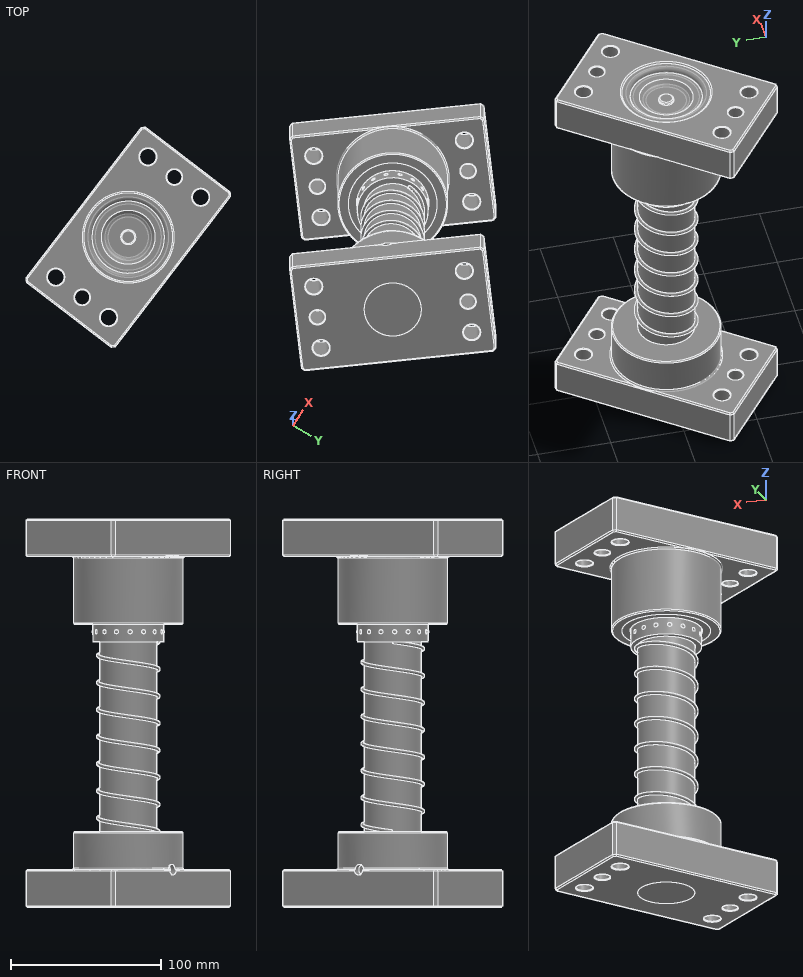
import cadquery as cq
import math

total_height = 257.95
flange_thickness = 25.0
lower_boss_top = 50.3
upper_boss_length = 70.0
flange_bottom = total_height - flange_thickness
upper_boss_bottom = total_height - upper_boss_length

flange_length = 130.0
flange_width = 75.0
flange_angle = 52.55
corner_chamfer = 2.0
rim_chamfer = 1.0
boss_diameter = 73.0
boss_chamfer = 0.8
boss_fillet = 1.0

hole_row_spacing = 100.7
screw_hole_spacing = 44.2
screw_hole_diameter = 11.0
dowel_hole_diameter = 10.0
hole_chamfer = 0.5

notch_diameter = 7.0
notch_depth = 5.0

pillar_diameter = 38.0
spring_wire_diameter = 2.2
spring_pitch = 18.0
spring_turns = 7
spring_length = spring_pitch * spring_turns
spring_radius = pillar_diameter / 2 + spring_wire_diameter / 2
ball_diameter = 5.0
ball_count = 16
first_ball_angle = -86.9
ball_height = 6.8
ball_circle_radius = (pillar_diameter + ball_diameter) / 2
cage_clearance = 0.4
cage_bore = pillar_diameter + 2 * cage_clearance
cage_diameter = pillar_diameter + 2 * ball_diameter - 2 * cage_clearance
cage_bottom = lower_boss_top + spring_length

bush_bore = pillar_diameter + 2 * ball_diameter
bush_diameter = 59.0
bush_lip_radius = 2.8
bush_seat_chamfer = 1.0
bush_top = total_height - bush_seat_chamfer

disc_rim_depth = 4.3
disc_slope_drop = 0.3
dish_floor_depth = 7.6
disc_bottom_depth = 12.0
disc_rim_top = total_height - disc_rim_depth
disc_rim_radius = 22.0
disc_cone_radius = 17.9
disc_cone_top = disc_rim_top - disc_slope_drop
dish_corner_radius = 14.6
dish_floor = total_height - dish_floor_depth
dish_fillet = 3.0
disc_bottom = total_height - disc_bottom_depth
screw_diameter = 10.0
screw_head_chamfer = 0.8
screw_head_height = 2.0
screw_depth = 20.0


def cylinder(diameter, bottom, top):
    return cq.Workplane("XY").workplane(offset=bottom).circle(diameter / 2).extrude(top - bottom)


def chamfered_hole(diameter):
    """Cutter for a hole through a flange, widened by a chamfer at both ends."""
    radius = diameter / 2
    return (
        cq.Workplane("XZ")
        .moveTo(0, 0)
        .lineTo(radius + hole_chamfer, 0)
        .lineTo(radius, hole_chamfer)
        .lineTo(radius, flange_thickness - hole_chamfer)
        .lineTo(radius + hole_chamfer, flange_thickness)
        .lineTo(0, flange_thickness)
        .close()
        .revolve(360, (0, 0, 0), (0, 1, 0))
    )


def flange(bottom):
    plate = (
        cq.Workplane("XY")
        .box(flange_length, flange_width, flange_thickness, centered=(True, True, False))
        .edges("|Z").chamfer(corner_chamfer)
        .faces("<Z or >Z").edges().chamfer(rim_chamfer)
    )
    along = hole_row_spacing / 2
    across = screw_hole_spacing / 2
    drilled = plate
    for x in (-along, along):
        for y, diameter in (
            (-across, screw_hole_diameter),
            (0, dowel_hole_diameter),
            (across, screw_hole_diameter),
        ):
            drilled = drilled.cut(chamfered_hole(diameter).translate((x, y, 0)))
    return drilled.rotate((0, 0, 0), (0, 0, 1), flange_angle).translate((0, 0, bottom))


def boss(root, end):
    """Round boss from the flange face at root to end, widened by a fillet at the root.

    Its foot runs on down to where the rim chamfer of the flange ends.
    """
    direction = math.copysign(1, end - root)
    radius = boss_diameter / 2
    fillet_centre = (radius + boss_fillet, root + direction * boss_fillet)
    fillet_mid = (
        fillet_centre[0] - boss_fillet * math.cos(math.pi / 4),
        fillet_centre[1] - direction * boss_fillet * math.sin(math.pi / 4),
    )
    return (
        cq.Workplane("XZ")
        .moveTo(0, root - direction * rim_chamfer)
        .lineTo(radius + boss_fillet, root - direction * rim_chamfer)
        .lineTo(radius + boss_fillet, root)
        .threePointArc(fillet_mid, (radius, root + direction * boss_fillet))
        .lineTo(radius, end - direction * boss_chamfer)
        .lineTo(radius - boss_chamfer, end)
        .lineTo(0, end)
        .close()
        .revolve(360, (0, 0, 0), (0, 1, 0))
    )


def make_lower_flange():
    notch = (
        cq.Workplane("XZ", origin=(0, -flange_width / 2 + notch_depth, flange_thickness))
        .circle(notch_diameter / 2).extrude(notch_depth)
        .rotate((0, 0, 0), (0, 0, 1), flange_angle)
    )
    body = flange(0).union(boss(flange_thickness, lower_boss_top))
    return body.cut(cylinder(pillar_diameter, 0, lower_boss_top)).cut(notch)


def make_upper_flange():
    body = flange(flange_bottom).union(boss(flange_bottom, upper_boss_bottom))
    bored = body.cut(cylinder(bush_diameter, upper_boss_bottom, total_height))
    seat_edge = cq.Workplane("XY", origin=(0, 0, bush_top)).circle(bush_diameter / 2)
    seat_cone = seat_edge.workplane(offset=bush_seat_chamfer).circle(
        bush_diameter / 2 + bush_seat_chamfer
    ).loft()
    return bored.cut(seat_cone)


def make_bush():
    bush = cylinder(bush_diameter, upper_boss_bottom, bush_top)
    bored = bush.cut(cylinder(bush_bore, upper_boss_bottom, bush_top))
    inner_top_edge = cq.selectors.RadiusNthSelector(0)
    return bored.faces(">Z").edges(inner_top_edge).fillet(bush_lip_radius)


def make_pillar():
    screw_hole = cylinder(screw_diameter, disc_bottom - screw_depth, disc_bottom)
    return cylinder(pillar_diameter, 0, disc_bottom).cut(screw_hole)


def make_cage():
    cage = cylinder(cage_diameter, cage_bottom, disc_bottom)
    cage = cage.cut(cylinder(cage_bore, cage_bottom, disc_bottom))
    balls = (
        cq.Workplane("XY", origin=(0, 0, cage_bottom + ball_height))
        .polarArray(ball_circle_radius, first_ball_angle, 360, ball_count)
        .sphere(ball_diameter / 2, combine=False)
    )
    return cage.union(balls)


def make_spring():
    """Left-hand coil whose ends are ground flat against the lower boss and the cage."""
    path = cq.Wire.makeHelix(spring_pitch, spring_length, spring_radius, lefthand=True)
    coil = (
        cq.Workplane("XZ")
        .center(spring_radius, 0)
        .circle(spring_wire_diameter / 2)
        .sweep(cq.Workplane(path), isFrenet=True)
        .translate((0, 0, lower_boss_top))
    )
    return coil.intersect(cylinder(boss_diameter, lower_boss_top, cage_bottom))


def make_disc():
    disc = (
        cq.Workplane("XZ")
        .moveTo(0, disc_bottom)
        .lineTo(bush_bore / 2, disc_bottom)
        .lineTo(bush_bore / 2, disc_rim_top)
        .lineTo(disc_rim_radius, disc_rim_top)
        .lineTo(disc_cone_radius, disc_cone_top)
        .lineTo(dish_corner_radius, dish_floor)
        .lineTo(0, dish_floor)
        .close()
        .revolve(360, (0, 0, 0), (0, 1, 0))
    )
    floor_face = cq.selectors.NearestToPointSelector((0, 0, dish_floor))
    rounded = disc.faces(floor_face).edges().fillet(dish_fillet)
    return rounded.cut(cylinder(screw_diameter, disc_bottom, dish_floor))


def make_screw():
    screw = cylinder(screw_diameter, disc_bottom - screw_depth, dish_floor + screw_head_height)
    return screw.faces(">Z").chamfer(screw_head_chamfer)


lower_flange = make_lower_flange()
upper_flange = make_upper_flange()
bush = make_bush()
pillar = make_pillar()
cage = make_cage()
spring = make_spring()
disc = make_disc()
screw = make_screw()

result = cq.Compound.makeCompound(
    [
        lower_flange.val(),
        upper_flange.val(),
        bush.val(),
        pillar.val(),
        cage.val(),
        spring.val(),
        disc.val(),
        screw.val(),
    ]
)